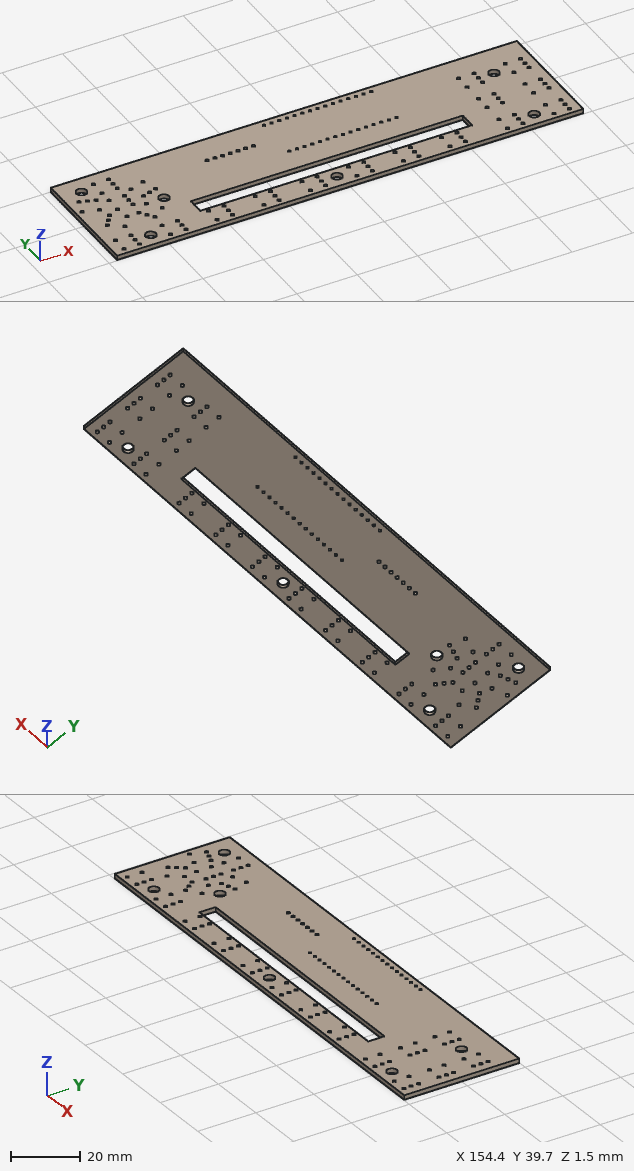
import cadquery as cq
import math

board_length = 154.4
board_width = 39.7
board_thickness = 1.5

window_length = 90.0
window_width = 5.5
window_y = -8.6

key_pin_spacing = 5.1
key_pin_diameter = 1.0

outer_key_x = 71.2
bottom_key_count = 8
bottom_key_span = 108.0
key_pitch = bottom_key_span / (bottom_key_count - 1)
bottom_key_margin = 4.6
bottom_key_y = bottom_key_margin - board_width / 2
middle_key_y = -3.1
top_key_y = 8.8

star_x = -63.0
star_y = 3.4
star_key_radius = 9.4
star_key_count = 5
star_step = 360 / star_key_count
star_start_angle = 90

mount_diameter = 3.4
star_mount_radius = 12.7
middle_mount_gap = 4

header_pin_diameter = 0.75
long_header_count = 15
long_header_span = 35.5
long_header_x = 10.0
long_header_y = 17.8
header_row_gap = 15.1
short_header_count = 7
short_header_span = 15.3
short_header_x = -23.2
short_header_y = 10.0
short_header_pin_diameter = 1.0


def polar_point(center_x, center_y, radius, angle):
    """Point at a radius and an angle in degrees from a center."""
    turn = math.radians(angle)
    return center_x + radius * math.cos(turn), center_y + radius * math.sin(turn)


def key_pins(center_x, center_y, rotation=0):
    """Five pin positions of one key turned by rotation degrees."""
    half = key_pin_spacing / 2
    corner_radius = half * math.sqrt(2)
    corner_angles = [rotation + angle for angle in (45, 135, 225, 315)]
    pins = [polar_point(center_x, center_y, corner_radius, angle) for angle in corner_angles]
    pins.append(polar_point(center_x, center_y, half, rotation))
    return pins


def header_pins(center_x, center_y, span, count):
    """Evenly spaced pin positions in a row along X."""
    pitch = span / (count - 1)
    return [(center_x - span / 2 + i * pitch, center_y) for i in range(count)]


def drill(board, points, diameter):
    """Cut round through holes at the given points."""
    drills = cq.Workplane("XY").pushPoints(points).circle(diameter / 2).extrude(board_thickness)
    return board.cut(drills)


board = cq.Workplane("XY").box(board_length, board_width, board_thickness, centered=(True, True, False))
window = (
    cq.Workplane("XY")
    .center(0, window_y)
    .rect(window_length, window_width)
    .extrude(board_thickness)
)
board = board.cut(window)

key_points = []
for i in range(bottom_key_count):
    key_points += key_pins(-outer_key_x + i * key_pitch, bottom_key_y)
for key_x in (outer_key_x - key_pitch, outer_key_x):
    for key_y in (bottom_key_y, middle_key_y, top_key_y):
        key_points += key_pins(key_x, key_y)
key_points += key_pins(star_x, star_y)
for i in range(star_key_count):
    rotation = i * star_step
    key_x, key_y = polar_point(star_x, star_y, star_key_radius, star_start_angle + rotation)
    key_points += key_pins(key_x, key_y, rotation)
board = drill(board, key_points, key_pin_diameter)

header_points = []
for row_y in (long_header_y, long_header_y - header_row_gap):
    header_points += header_pins(long_header_x, row_y, long_header_span, long_header_count)
board = drill(board, header_points, header_pin_diameter)
short_points = header_pins(short_header_x, short_header_y, short_header_span, short_header_count)
board = drill(board, short_points, short_header_pin_diameter)

mount_x = outer_key_x - key_pitch / 2
mount_points = [
    (-mount_x, bottom_key_y),
    (-mount_x + middle_mount_gap * key_pitch, bottom_key_y),
    (mount_x, bottom_key_y),
    (mount_x, top_key_y),
]
for half_steps in (1, -3):
    mount_angle = star_start_angle + half_steps * star_step / 2
    mount_points.append(polar_point(star_x, star_y, star_mount_radius, mount_angle))
result = drill(board, mount_points, mount_diameter)